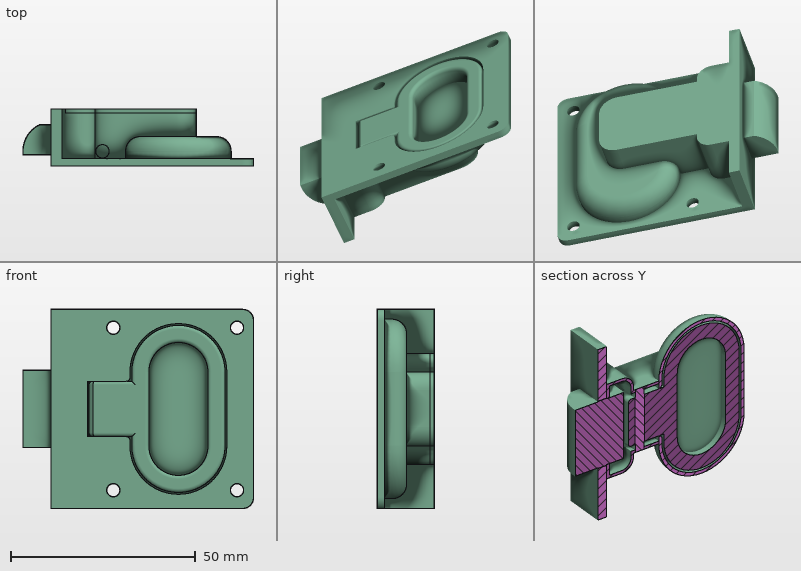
import cadquery as cq
import math


OVERALL_LENGTH = 62.5
OVERALL_DEPTH = 15.5
HEIGHT = 54.0
BOLT_REACH = 7.55
PLATE_THICKNESS = 2.0
FLANGE_THICKNESS = 3.0
PLATE_CORNER_RADIUS = 3.0
SCREW_HOLE_DIAMETER = 3.5
SCREW_HOLE_XS = (24.5, 58.0)
SCREW_HOLE_Z = 22.0
FLANGE_INNER_X = BOLT_REACH + FLANGE_THICKNESS

OVAL_X = 42.1
OVAL_HALF_STRAIGHT = 10.0
PAN_OPENING_RADIUS = 13.1
PAN_OUTER_RADIUS = 14.3
PAN_REAR_Y = 8.0
PAN_REAR_FILLET = 4.0
PAN_FLOOR_Y = 5.0
OPENING_CORNER_FILLET = 1.0

HANDLE_THICKNESS = 4.75
HANDLE_RADIUS = 12.6
GRIP_HOLE_RADIUS = 8.0
HANDLE_FILLET = 1.0
TAB_WIDTH = 15.0
TAB_CHAMFER = 1.05
TAB_NOSE_SETBACK = 0.4

PIN_X = 21.55
PIN_Y = 4.0
PIN_DIAMETER = 3.6
HEEL_RADIUS = PIN_Y
HEEL_X = PIN_X - HEEL_RADIUS
NOSE_X = HEEL_X + TAB_NOSE_SETBACK

CASE_WALL = 1.0
CASE_END_X = 47.0
CASE_HALF_HEIGHT = 10.0
CASE_END_RADIUS = 5.0
SHOULDER_X = 19.55
SHOULDER_RADIUS = 4.0
SHOULDER_HALF_HEIGHT = 15.0
LID_THICKNESS = 1.2
LID_FRONT_Y = OVERALL_DEPTH - LID_THICKNESS
LID_START_X = FLANGE_INNER_X + CASE_WALL

BOLT_HEIGHT = 21.0
BOLT_FRONT_Y = 3.0
BOLT_REAR_Y = 11.25
BOLT_NOSE_FLAT = 1.0
BOLT_NOSE_RADIUS = 8.0
BOLT_LENGTH = 16.25

SELECTION_MARGIN = 0.6


def box(x_range, y_range, height):
    """Box between two X and two Y values, centred on Z = 0."""
    length = x_range[1] - x_range[0]
    depth = y_range[1] - y_range[0]
    return (
        cq.Workplane("XY")
        .box(length, depth, height, centered=(False, False, True))
        .translate((x_range[0], y_range[0], 0))
    )


def front_sketch(front_y):
    """Workplane parallel to the front face whose extrusions run towards the rear (+Y).

    Its local Y axis points along -Z; every outline drawn on it is symmetric about Z = 0.
    """
    return cq.Workplane(cq.Plane(origin=(0, front_y, 0), xDir=(1, 0, 0), normal=(0, 1, 0)))


def oval(radius, front_y, rear_y):
    """Upright oval block around the pan axis."""
    return (
        front_sketch(front_y)
        .center(OVAL_X, 0)
        .slot2D(2 * (OVAL_HALF_STRAIGHT + radius), 2 * radius, 90)
        .extrude(rear_y - front_y)
    )


def pan_outside():
    """Outer shape of the pan, rounded at the rear."""
    return oval(PAN_OUTER_RADIUS, 0, PAN_REAR_Y).faces(">Y").edges().fillet(PAN_REAR_FILLET)


def pivot_rod(diameter):
    """Round rod on the pivot axis, as long as the narrow part of the case is high."""
    return (
        cq.Workplane("XY", origin=(PIN_X, PIN_Y, -CASE_HALF_HEIGHT))
        .circle(diameter / 2)
        .extrude(2 * CASE_HALF_HEIGHT)
    )


def make_bolt():
    """Latch bolt with a flat front and a nose rounded towards the rear."""
    nose_start_y = BOLT_FRONT_Y + BOLT_NOSE_FLAT
    rise = BOLT_REAR_Y - nose_start_y

    def nose_point(angle):
        x = BOLT_NOSE_RADIUS * (1 - math.cos(angle))
        return (x, nose_start_y + BOLT_NOSE_RADIUS * math.sin(angle))

    nose_angle = math.asin(rise / BOLT_NOSE_RADIUS)
    return (
        cq.Workplane("XY", origin=(0, 0, -BOLT_HEIGHT / 2))
        .moveTo(0, BOLT_FRONT_Y)
        .lineTo(0, nose_start_y)
        .threePointArc(nose_point(nose_angle / 2), nose_point(nose_angle))
        .lineTo(BOLT_LENGTH, BOLT_REAR_Y)
        .lineTo(BOLT_LENGTH, BOLT_FRONT_Y)
        .close()
        .extrude(BOLT_HEIGHT)
    )


def make_handle_opening():
    """Keyhole-shaped recess that takes the handle, with rounded inner corners."""
    tab_slot = box((HEEL_X, OVAL_X), (0, PAN_FLOOR_Y), TAB_WIDTH)
    opening = oval(PAN_OPENING_RADIUS, 0, PAN_FLOOR_Y).union(tab_slot)
    corner_x = OVAL_X - PAN_OPENING_RADIUS
    corners = cq.selectors.BoxSelector(
        (corner_x - SELECTION_MARGIN, 0, -TAB_WIDTH / 2 - SELECTION_MARGIN),
        (corner_x + SELECTION_MARGIN, PAN_FLOOR_Y, TAB_WIDTH / 2 + SELECTION_MARGIN),
    )
    return opening.edges("|Y").edges(corners).fillet(OPENING_CORNER_FILLET)


def make_bracket(bolt):
    """Plate, flange and pan in one piece, with the handle recess and the screw holes."""
    plate = box((BOLT_REACH, OVERALL_LENGTH), (0, PLATE_THICKNESS), HEIGHT)
    plate = plate.edges("|Y and >X").fillet(PLATE_CORNER_RADIUS)
    flange = box((BOLT_REACH, FLANGE_INNER_X), (0, OVERALL_DEPTH), HEIGHT)
    screw_holes = (
        front_sketch(0)
        .pushPoints([(x, z) for x in SCREW_HOLE_XS for z in (-SCREW_HOLE_Z, SCREW_HOLE_Z)])
        .circle(SCREW_HOLE_DIAMETER / 2)
        .extrude(PLATE_THICKNESS)
    )
    body = plate.union(flange).union(pan_outside())
    return body.cut(make_handle_opening()).cut(screw_holes).cut(bolt)


def make_handle():
    """Oval ring and tab with a rounded front rim, a bevelled nose and a heel around the pin."""
    heel_end_x = PIN_X + math.sqrt(HEEL_RADIUS**2 - (HANDLE_THICKNESS - PIN_Y) ** 2)
    tab = (
        cq.Workplane("XY", origin=(0, 0, -TAB_WIDTH / 2))
        .moveTo(OVAL_X, 0)
        .lineTo(NOSE_X + TAB_CHAMFER, 0)
        .lineTo(NOSE_X, TAB_CHAMFER)
        .lineTo(HEEL_X, PIN_Y)
        .threePointArc((PIN_X, PIN_Y + HEEL_RADIUS), (heel_end_x, HANDLE_THICKNESS))
        .lineTo(OVAL_X, HANDLE_THICKNESS)
        .close()
        .extrude(TAB_WIDTH)
    )
    body = oval(HANDLE_RADIUS, 0, HANDLE_THICKNESS).union(tab)
    body = body.cut(oval(GRIP_HOLE_RADIUS, 0, HANDLE_THICKNESS))

    nose_sides = body.edges(
        cq.selectors.BoxSelector(
            (HEEL_X, 0, -TAB_WIDTH), (NOSE_X + TAB_CHAMFER, PIN_Y - SELECTION_MARGIN, TAB_WIDTH)
        )
    ).edges("not |Z")
    front_rim = body.faces("<Y").edges("not <X")
    body = front_rim.add(nose_sides).fillet(HANDLE_FILLET)
    return body.cut(pivot_rod(PIN_DIAMETER))


def case_block(start_x, inset, front_y, rear_y):
    """Block with the stepped outline of the case, moved inwards by the inset on its free sides."""
    tall = box((start_x, SHOULDER_X - inset), (front_y, rear_y), 2 * (SHOULDER_HALF_HEIGHT - inset))
    tall = tall.edges("|Y and >X").fillet(SHOULDER_RADIUS - inset)
    low = box((start_x, CASE_END_X - inset), (front_y, rear_y), 2 * (CASE_HALF_HEIGHT - inset))
    low = low.edges("|Y and >X").fillet(CASE_END_RADIUS - inset)
    return tall.union(low)


def make_case(bolt):
    """Thin-walled case, open at the plate and at the lid, that fits over the back of the pan."""
    walls = case_block(FLANGE_INNER_X, 0, PLATE_THICKNESS, OVERALL_DEPTH).cut(make_lid())
    inside = case_block(LID_START_X, CASE_WALL, PLATE_THICKNESS, LID_FRONT_Y)
    return walls.cut(inside).cut(pan_outside()).cut(bolt).cut(pivot_rod(PIN_DIAMETER))


def make_lid():
    """Flat cover lying on the case walls, flush with the rear of the flange."""
    return case_block(LID_START_X, 0, LID_FRONT_Y, OVERALL_DEPTH)


bolt = make_bolt()
bracket = make_bracket(bolt)
handle = make_handle()
pin = pivot_rod(PIN_DIAMETER)
case = make_case(bolt)
lid = make_lid()

bodies = (bracket, bolt, handle, pin, case, lid)
result = cq.Compound.makeCompound([body.solids().val() for body in bodies])